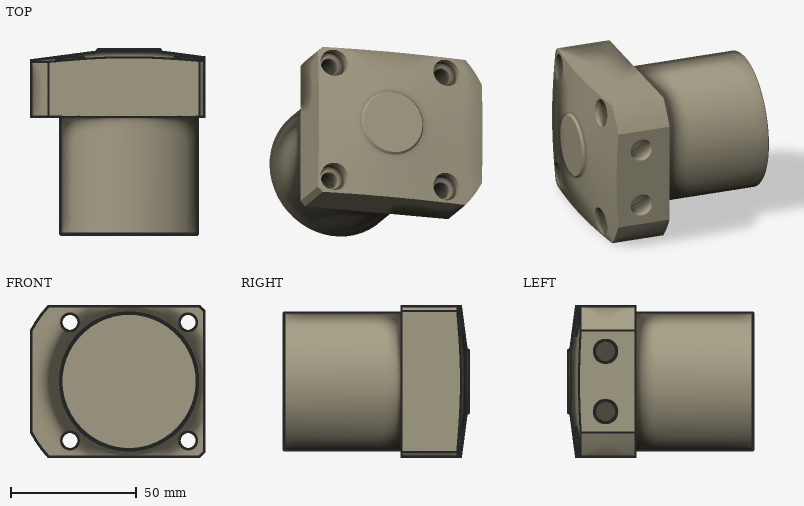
import cadquery as cq
import math

LEFT_REACH = 39.0
RIGHT_REACH = 30.0
HEIGHT = 60.0
HALF_HEIGHT = HEIGHT / 2
CORNER_RADIUS = 43.95
CHAMFER = 2.0

CYLINDER_DIAMETER = 55.0
CYLINDER_LENGTH = 47.0
CYLINDER_CHAMFER = 0.5

OVERALL_LENGTH = 74
BACK_DEPTH = OVERALL_LENGTH - CYLINDER_LENGTH
PAD_TOP_RADIUS = 12.3
PAD_FOOT_RADIUS = 13.0
PAD_HEIGHT = 1.0
CONE_ANGLE = 7.5

MOUNT_OFFSET = 23.5
MOUNT_DIAMETER = 6.8
COUNTERBORE_DIAMETER = 11.0
COUNTERBORE_FLOOR = BACK_DEPTH - 10.0

PORT_DIAMETER = 9.2
PORT_DEPTH = 10.0
PORT_CORE_DIAMETER = 8.6
PORT_CORE_DEPTH = 14.0
PORT_Y = 12.0
PORT_Z = 12.0


def y_cylinder(x, z, diameter, y_start, y_end):
    """Solid cylinder along +Y."""
    return cq.Workplane(
        cq.Solid.makeCylinder(diameter / 2, y_end - y_start, cq.Vector(x, y_start, z), cq.Vector(0, 1, 0))
    )


def flange_block():
    """Prism with arc corners on the left and chamfered corners on the right."""
    arc_end_x = -math.sqrt(CORNER_RADIUS**2 - HALF_HEIGHT**2)
    arc_end_z = math.sqrt(CORNER_RADIUS**2 - LEFT_REACH**2)
    middle_angle = (math.atan2(HALF_HEIGHT, -arc_end_x) + math.atan2(arc_end_z, LEFT_REACH)) / 2
    middle_x = -CORNER_RADIUS * math.cos(middle_angle)
    middle_z = CORNER_RADIUS * math.sin(middle_angle)
    return (
        cq.Workplane("XZ")
        .moveTo(-LEFT_REACH, -arc_end_z)
        .lineTo(-LEFT_REACH, arc_end_z)
        .threePointArc((middle_x, middle_z), (arc_end_x, HALF_HEIGHT))
        .lineTo(RIGHT_REACH - CHAMFER, HALF_HEIGHT)
        .lineTo(RIGHT_REACH, HALF_HEIGHT - CHAMFER)
        .lineTo(RIGHT_REACH, CHAMFER - HALF_HEIGHT)
        .lineTo(RIGHT_REACH - CHAMFER, -HALF_HEIGHT)
        .lineTo(arc_end_x, -HALF_HEIGHT)
        .threePointArc((middle_x, -middle_z), (-LEFT_REACH, -arc_end_z))
        .close()
        .extrude(-BACK_DEPTH)
    )


def back_envelope():
    """Revolved limit that gives the flange its conical back and pad."""
    rim_radius = math.hypot(LEFT_REACH, HALF_HEIGHT)
    pad_foot_y = BACK_DEPTH - PAD_HEIGHT
    rim_y = pad_foot_y - (rim_radius - PAD_FOOT_RADIUS) * math.tan(math.radians(CONE_ANGLE))
    return (
        cq.Workplane("XY")
        .polyline([
            (0, 0),
            (rim_radius, 0),
            (rim_radius, rim_y),
            (PAD_FOOT_RADIUS, pad_foot_y),
            (PAD_TOP_RADIUS, BACK_DEPTH),
            (0, BACK_DEPTH),
        ])
        .close()
        .revolve(360, (0, 0, 0), (0, 1, 0))
    )


def front_cylinder():
    """Closed cylinder with a chamfered front rim."""
    body = y_cylinder(0, 0, CYLINDER_DIAMETER, -CYLINDER_LENGTH, 0)
    return body.faces("<Y").chamfer(CYLINDER_CHAMFER)


def mounting_hole(x, z):
    """Through hole counterbored from the back."""
    hole = y_cylinder(x, z, MOUNT_DIAMETER, 0, BACK_DEPTH)
    return hole.union(y_cylinder(x, z, COUNTERBORE_DIAMETER, COUNTERBORE_FLOOR, BACK_DEPTH))


def port(z):
    """Blind port in the left face with a slightly narrower core behind it."""
    mouth = cq.Workplane("YZ", origin=(-LEFT_REACH, PORT_Y, z))
    core = mouth.circle(PORT_CORE_DIAMETER / 2).extrude(PORT_CORE_DEPTH)
    return mouth.circle(PORT_DIAMETER / 2).extrude(PORT_DEPTH).union(core)


result = flange_block().intersect(back_envelope()).union(front_cylinder())
for side_z in (-1, 1):
    for side_x in (-1, 1):
        result = result.cut(mounting_hole(side_x * MOUNT_OFFSET, side_z * MOUNT_OFFSET))
    result = result.cut(port(side_z * PORT_Z))